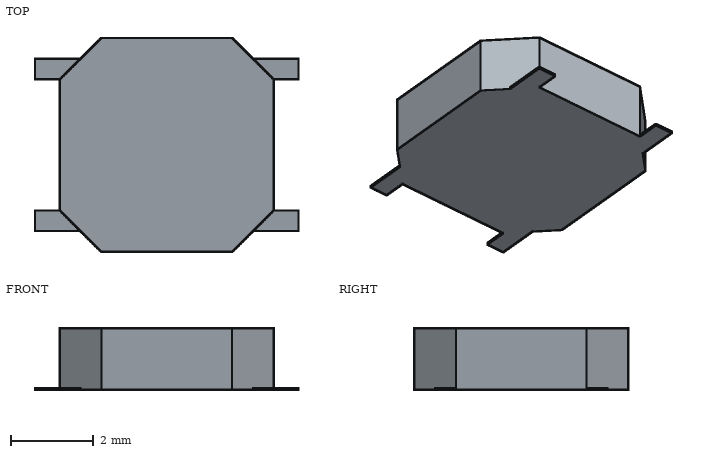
import cadquery as cq

body_side = 5.2
body_height = 1.5
corner_cut = 1.01

lead_span = 6.4
lead_width = 0.505
lead_thickness = 0.045
flat_half_length = body_side / 2 - corner_cut
lead_center_y = flat_half_length + lead_width / 2


def make_body():
    block = cq.Workplane("XY").box(body_side, body_side, body_height, centered=(True, True, False))
    return block.edges("|Z").chamfer(corner_cut)


def make_lead_pair(center_y):
    """One strip through the body, showing as a lead on each side."""
    strip = cq.Workplane("XY").box(lead_span, lead_width, lead_thickness, centered=(True, True, False))
    return strip.translate((0, center_y, 0))


result = make_body()
for side in (-1, 1):
    result = result.union(make_lead_pair(side * lead_center_y))